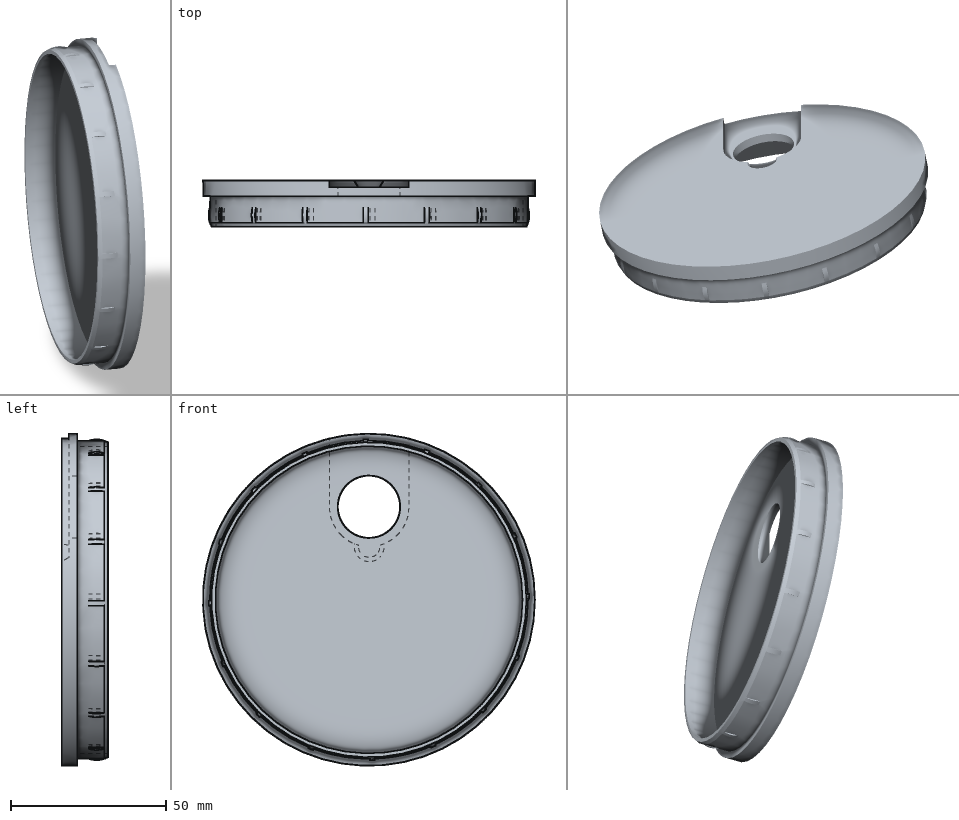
import cadquery as cq

total_depth = 15.0
flange_diameter = 107.0
flange_thickness = 5.0
skirt_diameter = 102.5
skirt_bore = 99.0
chamfer_depth = 1.3
chamfer_width = 0.5

hole_diameter = 20.0
hole_height = 30.0
recess_width = 25.6
recess_depth = 2.2

scallop_floor_radius = 3.4
scallop_face_radius = 4.8

rib_count = 16
rib_angle = 1.8
rib_offset_angle = 0.3
rib_length = 4.9
rib_bulge = 0.4
rib_root = 0.5

flange_radius = flange_diameter / 2
skirt_radius = skirt_diameter / 2
flange_front = total_depth - flange_thickness
rib_start_angle = -90 - rib_offset_angle - rib_angle
recess_floor = total_depth - recess_depth


def make_shell():
    """Revolve the flange, closed plate and chamfered skirt about Y."""
    return (
        cq.Workplane("XY")
        .moveTo(0, flange_front)
        .lineTo(skirt_bore / 2, flange_front)
        .lineTo(skirt_bore / 2, 0)
        .lineTo(skirt_radius - chamfer_width, 0)
        .lineTo(skirt_radius, chamfer_depth)
        .lineTo(skirt_radius, flange_front)
        .lineTo(flange_radius, flange_front)
        .lineTo(flange_radius, total_depth)
        .lineTo(0, total_depth)
        .close()
        .revolve(360, (0, 0, 0), (0, 1, 0))
    )


def make_rib():
    """Short revolved rib beside the top of the skirt, with a bulged crest."""
    rib_end = chamfer_depth + rib_length
    rib_middle = chamfer_depth + rib_length / 2
    return (
        cq.Workplane("XY")
        .moveTo(skirt_radius - rib_root, chamfer_depth)
        .lineTo(skirt_radius, chamfer_depth)
        .threePointArc((skirt_radius + rib_bulge, rib_middle), (skirt_radius, rib_end))
        .lineTo(skirt_radius - rib_root, rib_end)
        .close()
        .revolve(rib_angle, (0, 0, 0), (0, 1, 0))
        .rotate((0, 0, 0), (0, 1, 0), rib_start_angle)
    )


def make_hole():
    """Cylinder that passes through the closed plate."""
    return (
        cq.Workplane("XZ", origin=(0, total_depth, hole_height))
        .circle(hole_diameter / 2)
        .extrude(flange_thickness)
    )


def make_recess():
    """U-shaped recess: round around the hole and open through the top of the flange."""
    back_plane = cq.Workplane("XZ", origin=(0, total_depth, hole_height))
    round_end = back_plane.circle(recess_width / 2).extrude(recess_depth)
    channel_length = flange_radius - hole_height
    channel = (
        back_plane.center(0, channel_length / 2)
        .rect(recess_width, channel_length)
        .extrude(recess_depth)
    )
    return round_end.union(channel)


def make_scallop():
    """Cone centred on the lowest point of the recess, widening towards the closed face."""
    scallop_height = hole_height - recess_width / 2
    return cq.Workplane(
        cq.Solid.makeCone(
            scallop_floor_radius,
            scallop_face_radius,
            recess_depth,
            pnt=cq.Vector(0, recess_floor, scallop_height),
            dir=cq.Vector(0, 1, 0),
        )
    )


result = make_shell()
rib = make_rib()
for index in range(rib_count):
    angle = index * 360 / rib_count
    result = result.union(rib.rotate((0, 0, 0), (0, 1, 0), angle))
result = result.cut(make_hole()).cut(make_recess()).cut(make_scallop())